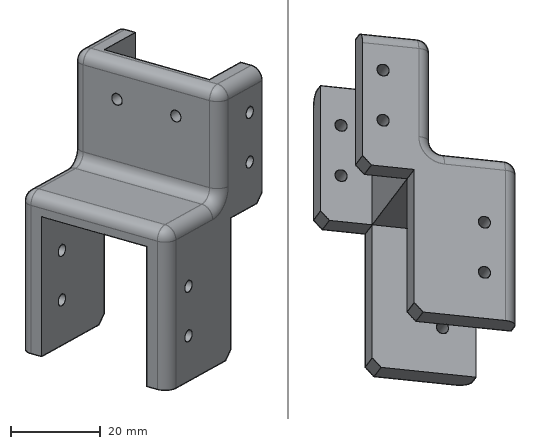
import cadquery as cq
import math

width = 40.5
depth = 36.0
height = 66.0

side_wall = 5.9
web_thickness = 4.0
shelf_thickness = 5.0
shelf_underside = 33.9
inner_back = 24.0
edge_radius = 3.0
corner_chamfer = 2.05

hole_diameter = 2.8
hole_pitch = 12.0
web_hole_spacing = 16.1
top_hole_height = height - 9.05
upper_hole_y = depth - 4.75
lower_hole_y = 7.8
lower_hole_height = 11.0

shelf_top = shelf_underside + shelf_thickness
web_front = inner_back - web_thickness
channel_width = width - 2 * side_wall


def stepped_block():
    """Solid stepped block, chamfered at the back and rounded along its outer faces."""
    block = (
        cq.Workplane("YZ")
        .moveTo(0, 0)
        .lineTo(0, shelf_top)
        .lineTo(web_front - edge_radius, shelf_top)
        .radiusArc((web_front, shelf_top + edge_radius), -edge_radius)
        .lineTo(web_front, height)
        .lineTo(depth, height)
        .lineTo(depth, shelf_underside + corner_chamfer)
        .lineTo(depth - corner_chamfer, shelf_underside)
        .lineTo(inner_back, shelf_underside)
        .lineTo(inner_back, corner_chamfer)
        .lineTo(inner_back - corner_chamfer, 0)
        .close()
        .extrude(width / 2, both=True)
    )
    bend_reach = edge_radius * math.sin(math.pi / 4)
    cross_edges = [(0, 0, shelf_top), (0, web_front, height)]
    side_edges = [
        (0, shelf_top / 2),
        ((web_front - edge_radius) / 2, shelf_top),
        (web_front - edge_radius + bend_reach, shelf_top + edge_radius - bend_reach),
        (web_front, (shelf_top + edge_radius + height) / 2),
        ((web_front + depth) / 2, height),
    ]
    points = cross_edges + [(side * width / 2, y, z) for side in (-1, 1) for y, z in side_edges]
    edges = block.edges(cq.selectors.NearestToPointSelector(points[0]))
    for point in points[1:]:
        edges = edges.add(block.edges(cq.selectors.NearestToPointSelector(point)))
    return edges.fillet(edge_radius)


def channel(y_start, y_end, z_start, z_end):
    """Cutter for the open space between the side walls."""
    return cq.Workplane("XY").box(
        channel_width, y_end - y_start, z_end - z_start, centered=(True, False, False)
    ).translate((0, y_start, z_start))


def side_holes(y, bottom_height):
    """A vertical pair of holes through both side walls."""
    return (
        cq.Workplane("YZ")
        .pushPoints([(y, bottom_height), (y, bottom_height + hole_pitch)])
        .circle(hole_diameter / 2)
        .extrude(width, both=True)
    )


def web_holes():
    """A horizontal pair of holes through the upper web."""
    return (
        cq.Workplane("XZ")
        .pushPoints([(side * web_hole_spacing / 2, top_hole_height) for side in (-1, 1)])
        .circle(hole_diameter / 2)
        .extrude(depth, both=True)
    )


result = (
    stepped_block()
    .cut(channel(0, inner_back, 0, shelf_underside))
    .cut(channel(inner_back, depth, shelf_underside, height))
    .cut(side_holes(upper_hole_y, top_hole_height - hole_pitch))
    .cut(side_holes(lower_hole_y, lower_hole_height))
    .cut(web_holes())
)